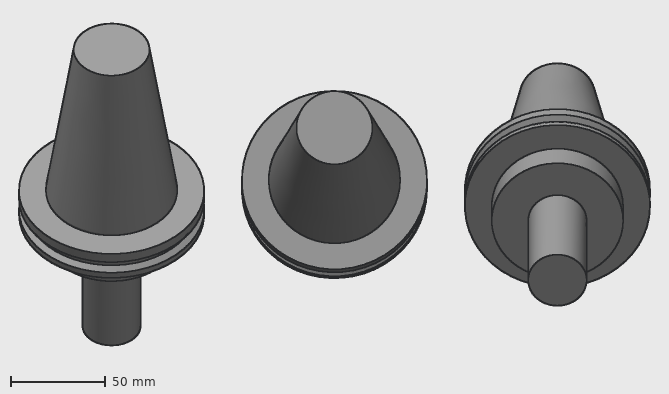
import cadquery as cq

total_length = 201.5
shank_diameter = 31.0
collar_diameter = 69.8
flange_diameter = 98.4
groove_diameter = 91.3
taper_tip_diameter = 40.3

shank_length = 65.3
flange_bottom = 81.2
groove_bottom = 85.0
groove_top = 92.7
flange_top = 98.8
taper_start = 100.0

groove_wall_height = 2.0

shank_radius = shank_diameter / 2
collar_radius = collar_diameter / 2
flange_radius = flange_diameter / 2
groove_radius = groove_diameter / 2
taper_tip_radius = taper_tip_diameter / 2

profile = [
    (0, 0),
    (shank_radius, 0),
    (shank_radius, shank_length),
    (collar_radius, shank_length),
    (collar_radius, flange_bottom),
    (flange_radius, flange_bottom),
    (flange_radius, groove_bottom),
    (groove_radius, groove_bottom + groove_wall_height),
    (groove_radius, groove_top - groove_wall_height),
    (flange_radius, groove_top),
    (flange_radius, flange_top),
    (collar_radius, flange_top),
    (collar_radius, taper_start),
    (taper_tip_radius, total_length),
    (0, total_length),
]

result = cq.Workplane("XZ").polyline(profile).close().revolve(360, (0, 0, 0), (0, 1, 0))